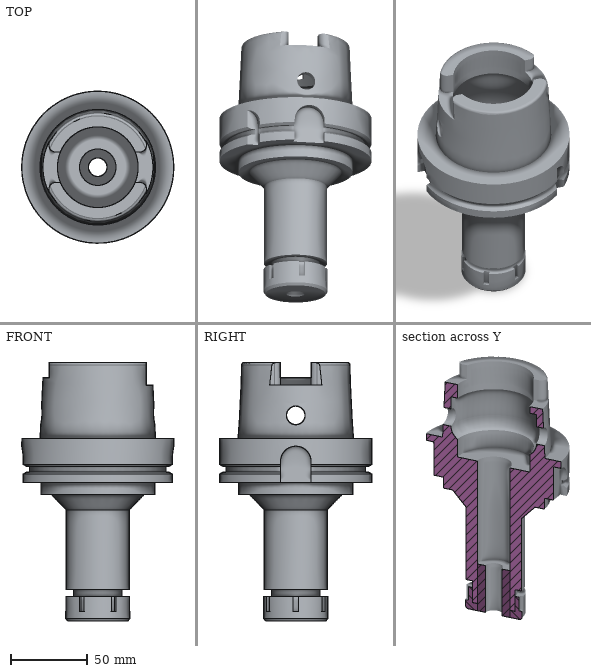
import cadquery as cq
import math


OVERALL_LENGTH = 170
TAPER_LENGTH = 50.0
TAPER_BASE_DIA = 76.0
TAPER_TOP_DIA = 71.0
TAPER_RIM_FILLET = 1.9

MOUTH_DIA = 53.0
MOUTH_DEPTH = 20.0
CLAMP_BORE_DIA = 62.9
CLAMP_BORE_DEPTH = 40.8
SEAT_RADIUS = 10.0
FLOOR_DEPTH = 62.0
ACCESS_HOLE_DIA = 12.0
ACCESS_HOLE_DEPTH = 34.8

SLOT_WIDTH = 20.0
LEFT_SLOT_DEPTH = 10.0
RIGHT_SLOT_DEPTH = 15.0
LUG_HALF_LENGTH = 32.0
LUG_CORNER_RADIUS = 4.0

FLANGE_DIA = 100.0
FLANGE_THICKNESS = 29.0
GROOVE_ROOT_DIA = 92.0
GROOVE_LEDGE_DIA = 95.9
GROOVE_CENTER_DEPTH = 20.2
GROOVE_ROOT_WIDTH = 3.7
GROOVE_MOUTH_WIDTH = 6.5

POCKET_WIDTH = 20.0
POCKET_TOP_DEPTH = 5.1
KEYWAY_FLOOR = 44.2
NOTCH_FLOOR = 32.0
NOTCH_CENTER_Y = 41.5

COLLAR_DIA = 75.0
COLLAR_BOTTOM = -36.9
CONE_TOP_DIA = 60.9
CONE_BOTTOM = -47.0
SHANK_DIA = 41.5
SHANK_BOTTOM = -99.3
NECK_DIA = 32.0

NUT_DIA = 42.2
NUT_TOP = -103.7
NUT_LIP = 5.1
NUT_CHAMFER_HEIGHT = 1.7
NUT_CHAMFER_WIDTH = 1.4
NUT_SLOT_COUNT = 6
NUT_SLOT_WIDTH = 3.7
NUT_SLOT_LENGTH = 9.9
NUT_SLOT_FLOOR = 18.9

COLLET_DIA = 24.0
COLLET_BORE_DIA = 12.0
COLLET_LENGTH = 34.0

NUT_BOTTOM = TAPER_LENGTH - OVERALL_LENGTH
NECK_BOTTOM = NUT_BOTTOM + NUT_LIP


def cylinder(diameter, bottom, top):
    """Cylinder on the Z axis between two heights."""
    return cq.Workplane("XY").workplane(offset=bottom).circle(diameter / 2).extrude(top - bottom)


def holder_blank():
    """Solid of revolution with the outer shape of the holder."""
    root_half = GROOVE_ROOT_WIDTH / 2
    mouth_half = GROOVE_MOUTH_WIDTH / 2
    blank = (
        cq.Workplane("XZ")
        .moveTo(0, TAPER_LENGTH)
        .lineTo(TAPER_TOP_DIA / 2, TAPER_LENGTH)
        .lineTo(TAPER_BASE_DIA / 2, 0)
        .lineTo(FLANGE_DIA / 2, 0)
        .lineTo(FLANGE_DIA / 2, mouth_half - GROOVE_CENTER_DEPTH)
        .lineTo(GROOVE_LEDGE_DIA / 2, root_half - GROOVE_CENTER_DEPTH)
        .lineTo(GROOVE_ROOT_DIA / 2, root_half - GROOVE_CENTER_DEPTH)
        .lineTo(GROOVE_ROOT_DIA / 2, -root_half - GROOVE_CENTER_DEPTH)
        .lineTo(GROOVE_LEDGE_DIA / 2, -root_half - GROOVE_CENTER_DEPTH)
        .lineTo(FLANGE_DIA / 2, -mouth_half - GROOVE_CENTER_DEPTH)
        .lineTo(FLANGE_DIA / 2, -FLANGE_THICKNESS)
        .lineTo(COLLAR_DIA / 2, -FLANGE_THICKNESS)
        .lineTo(COLLAR_DIA / 2, COLLAR_BOTTOM)
        .lineTo(CONE_TOP_DIA / 2, COLLAR_BOTTOM)
        .lineTo(SHANK_DIA / 2, CONE_BOTTOM)
        .lineTo(SHANK_DIA / 2, SHANK_BOTTOM)
        .lineTo(NECK_DIA / 2, SHANK_BOTTOM)
        .lineTo(NECK_DIA / 2, NECK_BOTTOM)
        .lineTo(0, NECK_BOTTOM)
        .close()
        .revolve(360, (0, 0, 0), (0, 1, 0))
    )
    return blank.faces(">Z").edges().fillet(TAPER_RIM_FILLET)


def holder_bores():
    """Stepped clamping bore, the collet bore below it and the cross hole through the taper wall.

    A concave arc, tangent to the clamping bore, narrows it back to the mouth diameter.
    """
    collet_radius = COLLET_DIA / 2
    mouth_radius = MOUTH_DIA / 2
    clamp_radius = CLAMP_BORE_DIA / 2
    mouth_bottom = TAPER_LENGTH - MOUTH_DEPTH
    clamp_bottom = TAPER_LENGTH - CLAMP_BORE_DEPTH
    seat_inset = clamp_radius - mouth_radius
    seat_height = math.sqrt(SEAT_RADIUS**2 - (SEAT_RADIUS - seat_inset) ** 2)
    seat_bottom = clamp_bottom - seat_height
    floor = TAPER_LENGTH - FLOOR_DEPTH
    stepped_bore = (
        cq.Workplane("XZ")
        .moveTo(0, TAPER_LENGTH)
        .lineTo(mouth_radius, TAPER_LENGTH)
        .lineTo(mouth_radius, mouth_bottom)
        .lineTo(clamp_radius, mouth_bottom)
        .lineTo(clamp_radius, clamp_bottom)
        .radiusArc((mouth_radius, seat_bottom), SEAT_RADIUS)
        .lineTo(mouth_radius, floor)
        .lineTo(collet_radius, floor)
        .lineTo(collet_radius, NECK_BOTTOM)
        .lineTo(0, NECK_BOTTOM)
        .close()
        .revolve(360, (0, 0, 0), (0, 1, 0))
    )
    access_hole = (
        cq.Workplane("YZ")
        .center(0, TAPER_LENGTH - ACCESS_HOLE_DEPTH)
        .circle(ACCESS_HOLE_DIA / 2)
        .extrude(TAPER_BASE_DIA / 2, both=True)
    )
    return stepped_bore.union(access_hole)


def drive_slot(side, depth):
    """Slot in the taper rim on the -X (side = -1) or +X (side = 1) side.

    Past the flat ends of the two lugs the slot opens to the full width of the taper,
    and the lug corners are rounded.
    """
    half_width = SLOT_WIDTH / 2
    outer_reach = TAPER_BASE_DIA / 2
    corner_x = LUG_HALF_LENGTH - LUG_CORNER_RADIUS
    corner_y = half_width + LUG_CORNER_RADIUS
    return (
        cq.Workplane("XY")
        .workplane(offset=TAPER_LENGTH - depth)
        .moveTo(0, -half_width)
        .lineTo(side * corner_x, -half_width)
        .radiusArc((side * LUG_HALF_LENGTH, -corner_y), side * LUG_CORNER_RADIUS)
        .lineTo(side * LUG_HALF_LENGTH, -outer_reach)
        .lineTo(side * outer_reach, -outer_reach)
        .lineTo(side * outer_reach, outer_reach)
        .lineTo(side * LUG_HALF_LENGTH, outer_reach)
        .lineTo(side * LUG_HALF_LENGTH, corner_y)
        .radiusArc((side * corner_x, half_width), side * LUG_CORNER_RADIUS)
        .lineTo(0, half_width)
        .close()
        .extrude(depth)
    )


def flange_pocket(side, floor, center_y):
    """Round-topped pocket, milled along X into the flange and open at the flange's lower face."""
    radius = POCKET_WIDTH / 2
    center_z = -POCKET_TOP_DEPTH - radius
    return (
        cq.Workplane("YZ")
        .workplane(offset=side * floor)
        .moveTo(center_y - radius, -FLANGE_THICKNESS)
        .lineTo(center_y - radius, center_z)
        .threePointArc((center_y, -POCKET_TOP_DEPTH), (center_y + radius, center_z))
        .lineTo(center_y + radius, -FLANGE_THICKNESS)
        .close()
        .extrude(side * (FLANGE_DIA / 2 - floor))
    )


def make_holder():
    """Holder with its bores, drive slots and flange pockets."""
    return (
        holder_blank()
        .cut(holder_bores())
        .cut(drive_slot(-1, LEFT_SLOT_DEPTH))
        .cut(drive_slot(1, RIGHT_SLOT_DEPTH))
        .cut(flange_pocket(-1, KEYWAY_FLOOR, 0))
        .cut(flange_pocket(1, KEYWAY_FLOOR, 0))
        .cut(flange_pocket(-1, NOTCH_FLOOR, NOTCH_CENTER_Y))
    )


def make_nut():
    """Cup-shaped nut around the neck, with a lip around the collet and wrench slots in its top edge."""
    radius = NUT_DIA / 2
    nut = (
        cq.Workplane("XZ")
        .moveTo(COLLET_DIA / 2, NUT_BOTTOM)
        .lineTo(radius - NUT_CHAMFER_WIDTH, NUT_BOTTOM)
        .lineTo(radius, NUT_BOTTOM + NUT_CHAMFER_HEIGHT)
        .lineTo(radius, NUT_TOP)
        .lineTo(NECK_DIA / 2, NUT_TOP)
        .lineTo(NECK_DIA / 2, NECK_BOTTOM)
        .lineTo(COLLET_DIA / 2, NECK_BOTTOM)
        .close()
        .revolve(360, (0, 0, 0), (0, 1, 0))
    )
    slot = (
        cq.Workplane("XY")
        .workplane(offset=NUT_TOP - NUT_SLOT_LENGTH)
        .moveTo((NUT_SLOT_FLOOR + NUT_DIA) / 2, 0)
        .rect(NUT_DIA - NUT_SLOT_FLOOR, NUT_SLOT_WIDTH)
        .extrude(NUT_SLOT_LENGTH)
    )
    for index in range(NUT_SLOT_COUNT):
        nut = nut.cut(slot.rotate((0, 0, 0), (0, 0, 1), index * 360 / NUT_SLOT_COUNT))
    return nut


def make_collet():
    """Plain clamping sleeve that fills the lower end of the collet bore, flush with the nut."""
    collet_top = NUT_BOTTOM + COLLET_LENGTH
    sleeve = cylinder(COLLET_DIA, NUT_BOTTOM, collet_top)
    return sleeve.cut(cylinder(COLLET_BORE_DIA, NUT_BOTTOM, collet_top))


holder = make_holder()
nut = make_nut()
collet = make_collet()

result = cq.Compound.makeCompound([holder.val(), nut.val(), collet.val()])